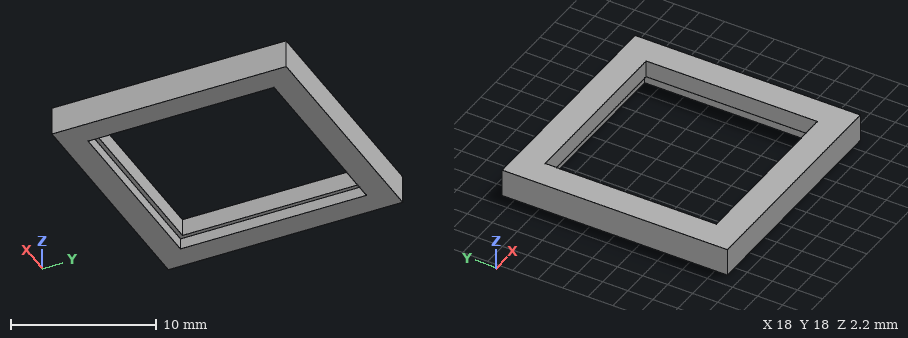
import cadquery as cq

side = 18.0
height = 2.2

opening = 13.66
lip_height = 1.35
step_width = 0.3
recess_side = opening + 2 * step_width
recess_depth = height - lip_height

frame = cq.Workplane("XY").rect(side, side).rect(opening, opening).extrude(height)

recess = cq.Workplane("XY").rect(recess_side, recess_side).extrude(recess_depth)

result = frame.cut(recess)